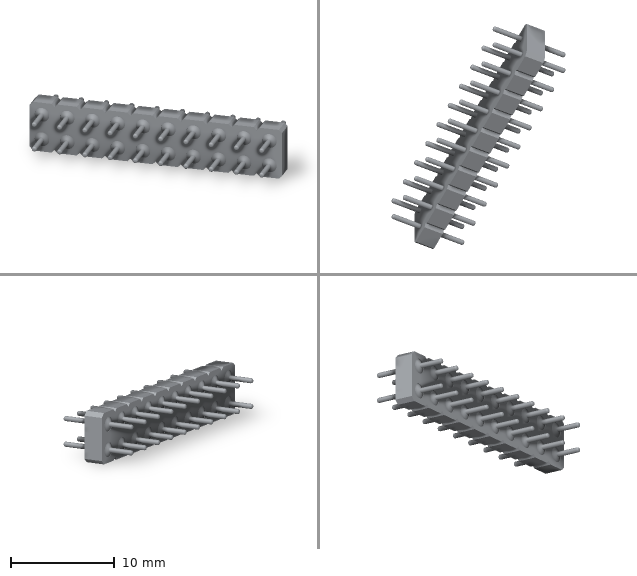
import cadquery as cq

columns = 10
rows = 2
length = 25.4
pitch = length / columns
height = rows * pitch
thickness = 1.93
left_corner_chamfer = 0.4
right_corner_chamfer = 0.3
notch_depth = 0.3
notch_half_width = notch_depth

pin_radius = 0.25
front_reach = 2.72
rear_reach = 3.0
tip_rounding = 0.18

collar_diameter = 1.45
collar_radius = collar_diameter / 2
recess_depth = 0.064
collar_height = 0.215

half_length = length / 2
half_height = height / 2


def pin_centres():
    """Yield the X and Z position of every pin."""
    for column in range(columns):
        for row in range(rows):
            x = (column + 0.5) * pitch - half_length
            z = (row + 0.5) * pitch - half_height
            yield x, z


def make_housing():
    """Chamfered block with a V notch between neighbouring columns on both long sides."""
    block = (
        cq.Workplane("XY")
        .box(length, thickness, height)
        .edges("|Y and <X")
        .chamfer(left_corner_chamfer)
        .edges("|Y and >X")
        .chamfer(right_corner_chamfer)
        .translate((0, thickness / 2, 0))
    )
    for column in range(1, columns):
        x = column * pitch - half_length
        for side in (1, -1):
            edge = side * half_height
            notch = (
                cq.Workplane("XZ")
                .moveTo(x - notch_half_width, edge)
                .lineTo(x, edge - side * notch_depth)
                .lineTo(x + notch_half_width, edge)
                .close()
                .extrude(-thickness)
            )
            block = block.cut(notch)
    return block


def make_recess():
    """Round recess opening at the front face, centred on the Y axis."""
    return cq.Workplane("XZ").circle(collar_radius).extrude(-recess_depth)


def make_pin():
    """Pin with rounded tips and a conical collar, revolved about the Y axis."""
    front_tip = -front_reach
    rear_tip = thickness + rear_reach
    flat_radius = pin_radius - tip_rounding
    return (
        cq.Workplane("XY")
        .moveTo(0, front_tip)
        .lineTo(flat_radius, front_tip)
        .radiusArc((pin_radius, front_tip + tip_rounding), -tip_rounding)
        .lineTo(pin_radius, -collar_height)
        .lineTo(collar_radius, recess_depth)
        .lineTo(pin_radius, recess_depth)
        .lineTo(pin_radius, rear_tip - tip_rounding)
        .radiusArc((flat_radius, rear_tip), -tip_rounding)
        .lineTo(0, rear_tip)
        .close()
        .revolve(360, (0, 0, 0), (0, 1, 0))
    )


def build():
    """Recess the housing at every position and join the pins to it."""
    connector = make_housing()
    recess = make_recess()
    pin = make_pin()
    for x, z in pin_centres():
        connector = connector.cut(recess.translate((x, 0, z)))
        connector = connector.union(pin.translate((x, 0, z)))
    return connector


result = build()